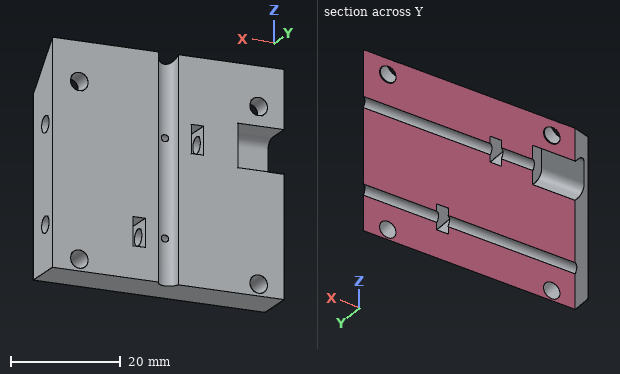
import cadquery as cq

width = 46.5
thickness = 8.5
height = 44.1
bevel = thickness

mount_diameter = 3.5
mount_x_positions = (5.15, 41.1)
mount_lower_z = 2.3
mount_upper_z = 36.25
counterbore_diameter = 6.5
counterbore_depth = 4.1

cross_diameter = 3.25
cross_y = thickness - 3.1
cross_lower_z = 9.05
cross_upper_z = 28.25
slot_width = 2.4
slot_height = 5.6
slot_lower_x = 29.1
slot_upper_x = 17.4

pocket_length = 9.3
pocket_height = 8.5
pocket_depth = 7.15
pocket_corner_radius = 2.0

groove_diameter = 4.0
groove_x = width / 2
groove_depth = 1.65


def hole_along_y(x, z, diameter, depth):
    """Cylinder that starts at the front plane and runs towards the back."""
    return cq.Workplane("XZ", origin=(x, 0, z)).circle(diameter / 2).extrude(-depth)


def slot_along_y(x, z):
    """Rectangular slot through the whole thickness."""
    return cq.Workplane("XZ", origin=(x, 0, z)).rect(slot_width, slot_height).extrude(-thickness)


result = (
    cq.Workplane("YZ")
    .polyline([(0, 0), (thickness, 0), (thickness, height), (0, height - bevel)])
    .close()
    .extrude(width)
)

for x in mount_x_positions:
    for z in (mount_lower_z, mount_upper_z):
        result = result.cut(hole_along_y(x, z, mount_diameter, thickness))
    result = result.cut(hole_along_y(x, mount_upper_z, counterbore_diameter, counterbore_depth))

for z in (cross_lower_z, cross_upper_z):
    cross_hole = cq.Workplane("YZ", origin=(0, cross_y, z)).circle(cross_diameter / 2).extrude(width)
    result = result.cut(cross_hole)

result = result.cut(slot_along_y(slot_lower_x, cross_lower_z))
result = result.cut(slot_along_y(slot_upper_x, cross_upper_z))

pocket = (
    cq.Workplane("XY")
    .box(pocket_length, pocket_depth, pocket_height, centered=(False, False, True))
    .edges("|X and <Y")
    .fillet(pocket_corner_radius)
    .translate((0, thickness - pocket_depth, cross_upper_z))
)
result = result.cut(pocket)

groove_axis_y = thickness - groove_depth + groove_diameter / 2
groove = cq.Workplane("XY", origin=(groove_x, groove_axis_y, 0)).circle(groove_diameter / 2).extrude(height)
result = result.cut(groove)